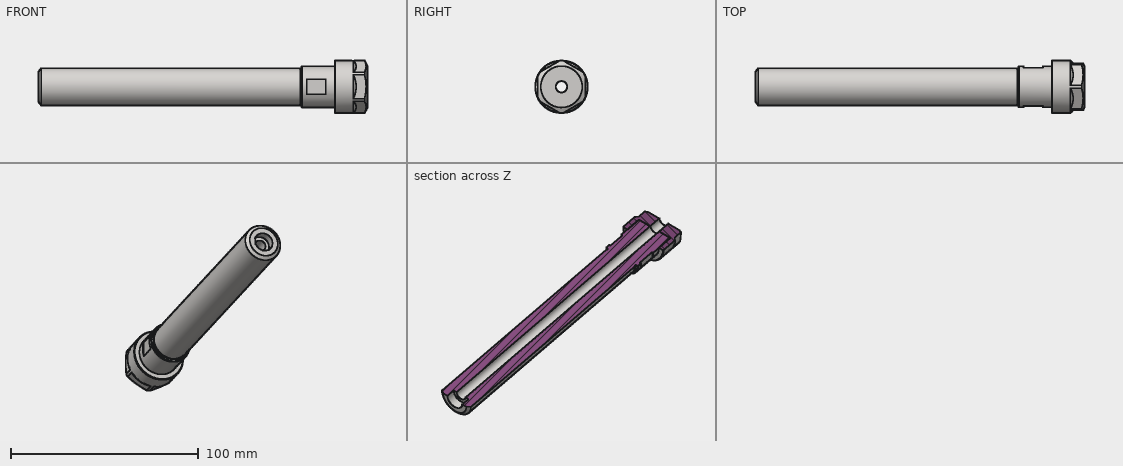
import cadquery as cq
import math

TOTAL_LENGTH = 175.1

SHANK_DIAMETER = 20.0
SHANK_END_DIAMETER = 16.0
SHANK_CHAMFER_LENGTH = 1.4
GROOVE_START = 139.2
GROOVE_WIDTH = 0.7
GROOVE_DIAMETER = 19.0
COLLAR_DIAMETER = 22.0
COLLAR_CHAMFER = 0.4
REAR_BORE_DIAMETER = 10.0
REAR_BORE_DEPTH = 5.3
THROUGH_HOLE_DIAMETER = 6.0

WRENCH_FLAT_START = 142.7
WRENCH_FLAT_LENGTH = 10.2
WRENCH_FLAT_SPACING = 20.5

NUT_START = 157.6
NUT_DIAMETER = 28.0
NUT_REAR_CHAMFER = 0.4
HEX_START = 167.5
HEX_ACROSS_FLATS = 25.0
NUT_FACE_DIAMETER = 22.0
NUT_FACE_CHAMFER_LENGTH = 1.5

COLLAR_START = GROOVE_START + GROOVE_WIDTH
COLLAR_END = HEX_START


def revolve_about_x(profile):
    """Turn a closed list of (x, radius) points about the X axis."""
    return cq.Workplane("XY").polyline(profile).close().revolve(360, (0, 0, 0), (1, 0, 0))


def cylinder_along_x(start, length, diameter):
    return cq.Workplane("YZ").workplane(offset=start).circle(diameter / 2).extrude(length)


def make_holder():
    shank_radius = SHANK_DIAMETER / 2
    groove_radius = GROOVE_DIAMETER / 2
    collar_radius = COLLAR_DIAMETER / 2
    holder = revolve_about_x([
        (0, 0),
        (0, SHANK_END_DIAMETER / 2),
        (SHANK_CHAMFER_LENGTH, shank_radius),
        (GROOVE_START, shank_radius),
        (GROOVE_START, groove_radius),
        (COLLAR_START, groove_radius),
        (COLLAR_START, collar_radius - COLLAR_CHAMFER),
        (COLLAR_START + COLLAR_CHAMFER, collar_radius),
        (COLLAR_END, collar_radius),
        (COLLAR_END, 0),
    ])
    holder = holder.cut(cylinder_along_x(0, REAR_BORE_DEPTH, REAR_BORE_DIAMETER))
    holder = holder.cut(cylinder_along_x(0, COLLAR_END, THROUGH_HOLE_DIAMETER))

    for side in (-1, 1):
        block_centre_y = side * (WRENCH_FLAT_SPACING + COLLAR_DIAMETER) / 2
        cutter = (
            cq.Workplane("XY")
            .center(WRENCH_FLAT_START + WRENCH_FLAT_LENGTH / 2, block_centre_y)
            .box(WRENCH_FLAT_LENGTH, COLLAR_DIAMETER, COLLAR_DIAMETER)
        )
        holder = holder.cut(cutter)
    return holder


def make_nut_envelope():
    """Round outside of the nut with its rear and front chamfers."""
    nut_radius = NUT_DIAMETER / 2
    return revolve_about_x([
        (NUT_START, 0),
        (NUT_START, nut_radius - NUT_REAR_CHAMFER),
        (NUT_START + NUT_REAR_CHAMFER, nut_radius),
        (TOTAL_LENGTH - NUT_FACE_CHAMFER_LENGTH, nut_radius),
        (TOTAL_LENGTH, NUT_FACE_DIAMETER / 2),
        (TOTAL_LENGTH, 0),
    ])


def make_hex_and_shoulder():
    """Hexagon with flats at -Y and +Y, joined to the round rear by a 45 degree cone."""
    nut_radius = NUT_DIAMETER / 2
    hex_length = TOTAL_LENGTH - HEX_START
    across_corners = HEX_ACROSS_FLATS / math.cos(math.radians(30))
    hexagon = (
        cq.Workplane("YZ")
        .workplane(offset=HEX_START)
        .transformed(rotate=(0, 0, 30))
        .polygon(6, across_corners)
        .extrude(hex_length)
    )
    shoulder = revolve_about_x([
        (NUT_START, 0),
        (NUT_START, nut_radius),
        (HEX_START, nut_radius),
        (TOTAL_LENGTH, nut_radius - hex_length),
        (TOTAL_LENGTH, 0),
    ])
    return hexagon.union(shoulder)


def make_nut_cavity():
    """Collar recess and the through hole."""
    collar_radius = COLLAR_DIAMETER / 2
    hole_radius = THROUGH_HOLE_DIAMETER / 2
    return revolve_about_x([
        (NUT_START, 0),
        (NUT_START, collar_radius),
        (COLLAR_END, collar_radius),
        (COLLAR_END, hole_radius),
        (TOTAL_LENGTH, hole_radius),
        (TOTAL_LENGTH, 0),
    ])


def make_nut():
    return make_nut_envelope().intersect(make_hex_and_shoulder()).cut(make_nut_cavity())


holder = make_holder()
nut = make_nut()

result = cq.Compound.makeCompound([holder.val(), nut.val()])